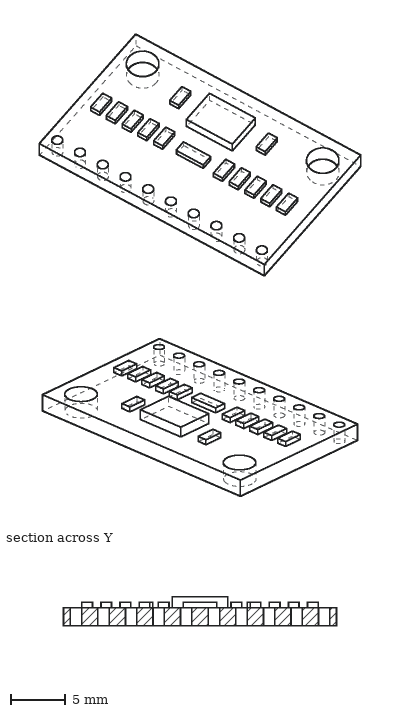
import cadquery as cq

board_length = 25.2
board_width = 15.7
board_thickness = 1.7

mount_diameter = 3.0
mount_x = 10.08
mount_y = 5.32

pin_count = 10
pin_diameter = 1.0
pin_pitch = 2.55
pin_y = -6.58

chip_length = 5.15
chip_width = 3.75
chip_height = 1.0
chip_y = 3.4

small_length = 1.0
small_width = 2.0
small_height = 0.5

side_x = 4.85
side_y = 3.83

group_count = 5
group_inner_x = 3.35
group_pitch = 1.76
group_y = -0.95

middle_length = 3.05
middle_width = 1.2
middle_y = -1.08


def make_board():
    """Plain rectangular plate."""
    return cq.Workplane("XY").box(
        board_length, board_width, board_thickness, centered=(True, True, False)
    )


def cut_holes(body, points, diameter):
    """Drill through holes at the given points."""
    drills = cq.Workplane("XY").pushPoints(points).circle(diameter / 2).extrude(board_thickness)
    return body.cut(drills)


def add_blocks(body, points, length, width, height):
    """Place equal rectangular components on the top face."""
    blocks = (
        cq.Workplane("XY")
        .workplane(offset=board_thickness)
        .pushPoints(points)
        .rect(length, width)
        .extrude(height)
    )
    return body.union(blocks)


mount_points = [(-mount_x, mount_y), (mount_x, mount_y)]
pin_points = [((i - (pin_count - 1) / 2) * pin_pitch, pin_y) for i in range(pin_count)]

small_points = [(-side_x, side_y), (side_x, side_y)]
for i in range(group_count):
    x = group_inner_x + i * group_pitch
    small_points += [(-x, group_y), (x, group_y)]

result = make_board()
result = cut_holes(result, mount_points, mount_diameter)
result = cut_holes(result, pin_points, pin_diameter)
result = add_blocks(result, [(0, chip_y)], chip_length, chip_width, chip_height)
result = add_blocks(result, small_points, small_length, small_width, small_height)
result = add_blocks(result, [(0, middle_y)], middle_length, middle_width, small_height)